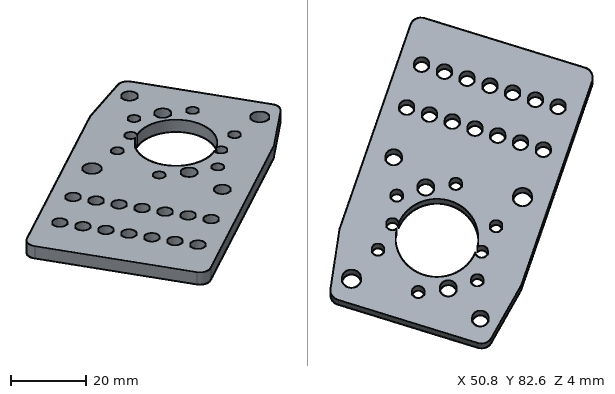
import cadquery as cq
import math

width = 50.8
length = 82.55
thickness = 4.0
corner_radius = 3.0
taper_start_y = 22.3
taper_angle = 10.0

mount_y = 16.5
bore_diameter = 21.95
screw_diameter = 3.4
screw_circle_radius = 16.0
screw_count = 6
notch_offset = 12.5
dowel_diameter = 4.5
dowel_circle_radius = 14.5
dowel_angle = 120.0

corner_offset = 18.0
small_corner_diameter = 4.45
large_corner_diameter = 5.1

row_hole_diameter = 4.1
row_pitch = 6.35
holes_per_row = 7
upper_row_y = -2.5 * row_pitch
row_spacing = 2 * row_pitch


def make_plate():
    """Plate narrowing towards +Y, with every vertical edge rounded."""
    half_width = width / 2
    half_length = length / 2
    taper_length = half_length - taper_start_y
    end_half_width = half_width - taper_length * math.tan(math.radians(taper_angle))
    outline = [
        (-half_width, -half_length),
        (half_width, -half_length),
        (half_width, taper_start_y),
        (end_half_width, half_length),
        (-end_half_width, half_length),
        (-half_width, taper_start_y),
    ]
    plate = cq.Workplane("XY").workplane(offset=-thickness / 2).polyline(outline).close()
    return plate.extrude(thickness).edges("|Z").fillet(corner_radius)


def around_bore(radius, angle):
    """Point at a radius and an angle in degrees about the bore axis."""
    turn = math.radians(angle)
    return (radius * math.cos(turn), mount_y + radius * math.sin(turn))


def drill(body, points, diameter):
    """Cut through holes at the given points."""
    cutters = (
        cq.Workplane("XY").pushPoints(points).circle(diameter / 2).extrude(thickness, both=True)
    )
    return body.cut(cutters)


screw_step = 360 / screw_count
screw_points = [
    around_bore(screw_circle_radius, screw_step * (i + 0.5)) for i in range(screw_count)
]
notch_points = [(side * notch_offset, mount_y) for side in (-1, 1)]
dowel_points = [around_bore(dowel_circle_radius, dowel_angle + turn) for turn in (0, 180)]
small_corner_points = [
    (-side * corner_offset, mount_y + side * corner_offset) for side in (-1, 1)
]
large_corner_points = [
    (side * corner_offset, mount_y + side * corner_offset) for side in (-1, 1)
]
row_points = [
    ((i - (holes_per_row - 1) / 2) * row_pitch, row_y)
    for row_y in (upper_row_y, upper_row_y - row_spacing)
    for i in range(holes_per_row)
]

result = make_plate()
result = drill(result, [(0, mount_y)], bore_diameter)
result = drill(result, notch_points, screw_diameter)
result = drill(result, screw_points, screw_diameter)
result = drill(result, dowel_points, dowel_diameter)
result = drill(result, small_corner_points, small_corner_diameter)
result = drill(result, large_corner_points, large_corner_diameter)
result = drill(result, row_points, row_hole_diameter)